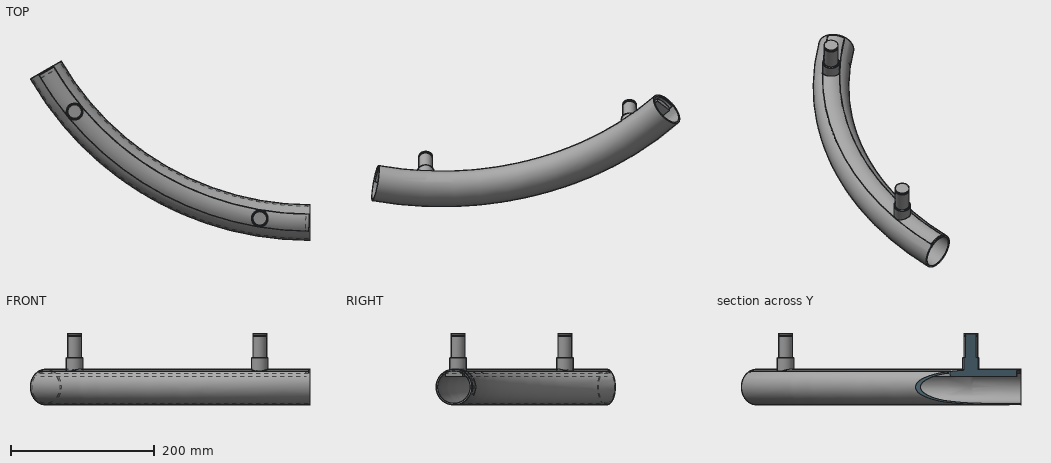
import cadquery as cq
import math

overall_length = 389.7
bend_angle = 60.0
tube_radius = 25.0
tube_wall = 2.5
bend_radius = overall_length / math.sin(math.radians(bend_angle)) - tube_radius
bore_radius = tube_radius - tube_wall

slot_half_width = 12.0
end_ring_length = 2.0
side_gap = 0.5
strip_half_width = slot_half_width - side_gap

rib_bottom = 14.5
rib_end_inset = 6.2

stud_end_angle = 9.5
stud_angles = [stud_end_angle, bend_angle - stud_end_angle]
stud_radius = 9.7
stud_top = 74.5
groove_drop = 2.7
groove_width = 1.0
groove_depth = 0.5
groove_top = stud_top - groove_drop
groove_bottom = groove_top - groove_width

collar_radius = strip_half_width
collar_top = 41.5
collar_chamfer = 1.0
collar_root = 19.5


def height_on_circle(radius, offset):
    """Height above the tube axis of a point on a circle, sideways from its top."""
    return math.sqrt(radius**2 - offset**2)


def end_section():
    """Sketch plane across the +X end of the tube: local x is radially inward, local y is up."""
    return cq.Workplane(cq.Plane(origin=(0, -bend_radius, 0), xDir=(0, 1, 0), normal=(1, 0, 0)))


def bend(section, end_inset=0.0):
    """Revolve a cross-section along the bend, stopping short of both ends by an arc length."""
    inset_angle = math.degrees(end_inset / bend_radius)
    arc = section.revolve(bend_angle - 2 * inset_angle, (bend_radius, 0, 0), (bend_radius, -1, 0))
    return arc.rotate((0, 0, 0), (0, 0, 1), -inset_angle)


def top_block(half_width):
    """Block along the bend that covers the top wall of the tube between the end rings."""
    block_bottom = height_on_circle(bore_radius, half_width) - tube_wall
    block_top = tube_radius + tube_wall
    middle = (block_bottom + block_top) / 2
    section = end_section().center(0, middle).rect(2 * half_width, block_top - block_bottom)
    return bend(section, end_ring_length)


def make_rib():
    """Straight-sided rib under the strip, with its top seated in the strip's curved underside."""
    edge_height = height_on_circle(bore_radius, strip_half_width)
    section = (
        end_section()
        .moveTo(-strip_half_width, rib_bottom)
        .lineTo(-strip_half_width, edge_height)
        .threePointArc((0, bore_radius), (strip_half_width, edge_height))
        .lineTo(strip_half_width, rib_bottom)
        .close()
    )
    return bend(section, rib_end_inset)


def make_stud(angle):
    """Stud with a chamfered collar and a fine groove below its tip, at an angle along the bend."""
    profile = (
        cq.Workplane("XZ")
        .moveTo(0, collar_root)
        .lineTo(collar_radius, collar_root)
        .lineTo(collar_radius, collar_top - collar_chamfer)
        .lineTo(collar_radius - collar_chamfer, collar_top)
        .lineTo(stud_radius, collar_top)
        .lineTo(stud_radius, groove_bottom)
        .lineTo(stud_radius - groove_depth, groove_bottom)
        .lineTo(stud_radius - groove_depth, groove_top)
        .lineTo(stud_radius, groove_top)
        .lineTo(stud_radius, stud_top)
        .lineTo(0, stud_top)
        .close()
    )
    stud = profile.revolve(360, (0, 0, 0), (0, 1, 0))
    return stud.translate((0, -bend_radius, 0)).rotate((0, 0, 0), (0, 0, 1), -angle)


pipe = bend(end_section().circle(tube_radius).circle(bore_radius))

carrier = pipe.intersect(top_block(strip_half_width)).union(make_rib())
for stud_angle in stud_angles:
    carrier = carrier.union(make_stud(stud_angle))

tube = pipe.cut(top_block(slot_half_width))

result = cq.Compound.makeCompound([tube.solids().val(), carrier.solids().val()])